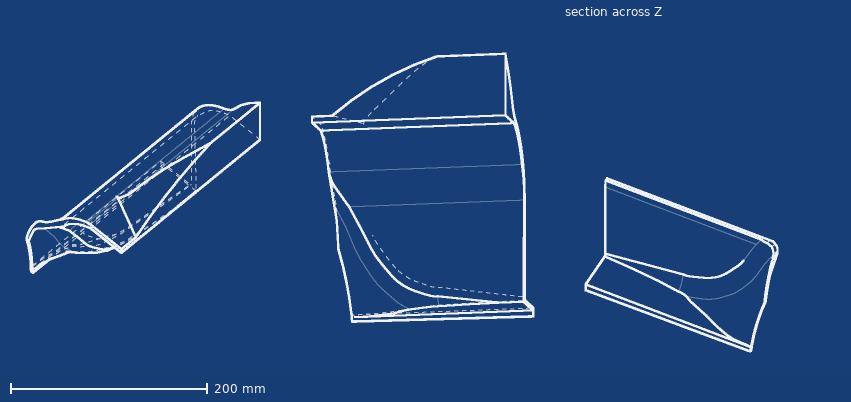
import cadquery as cq
import math

WIDTH = 142.5
LENGTH = 201.33
HEIGHT = 246.47

WALL_X = 44.0
WALL_THICKNESS = 7.0
ARCH_RADIUS = 80.0
ARCH_X = WALL_X + ARCH_RADIUS
ARCH_Z = 114.0
ARCH_END_X = 91.0
ARCH_END_ANGLE = math.acos((ARCH_X - ARCH_END_X) / ARCH_RADIUS)
INNER_RADIUS = ARCH_RADIUS - WALL_THICKNESS
RAMP_X = 94.0
RAMP_Z = 188.2
SHELF_START_X = 98.0
SHELF_Z = 189.0
SHELF_THICKNESS = 6.5
SHELF_UNDERSIDE_Z = SHELF_Z - SHELF_THICKNESS

INNER_FOOT_X = WALL_X + WALL_THICKNESS
INNER_BEND_START = (48.5, 112.0)
INNER_BEND_MIDDLE = (51.0, 134.0)
INNER_BEND_END_Z = 147.0

FIN_ROOT = (104.0, 198.0)
FIN_ROOT_MIDDLE = (98.4, 191.9)
FIN_MIDDLE = (121.0, 224.0)
FIN_TOP_Y = 130.0
FIN_FRONT_Y = 21.0
FIN_INNER_FRONT_Y = 42.0
FIN_EDGE_BULGE = (71.0, 222.5)
FIN_INNER_BULGE = (75.0, 218.0)
FIN_CUTTER_REACH = 60.0

FLANGE_TOP_Z = 9.0
FLANGE_THICKNESS = 3.0
FLANGE_BOTTOM_Z = FLANGE_TOP_Z - FLANGE_THICKNESS
LIP_THICKNESS = 3.0
LIP_FRONT_Y = 13.0
LIP_FRONT_RISE = 2.0

RIM_TOP_Z = 76.0
RIM_MIDDLE = (7.5, 43.0)

CREASE_X = 32.0
FLARE_FRONT_STATIONS = [
    (0.0, 158.5, 130.0, 1.0),
    (7.0, 149.5, 115.5, 1.02),
    (14.0, 141.0, 101.0, 1.04),
    (21.0, 128.5, 84.0, 1.09),
    (29.0, 113.5, 68.0, 1.16),
    (47.0, 75.0, 42.0, 1.26),
    (60.0, 56.5, 29.5, 1.29),
    (80.0, 37.5, 16.0, 1.29),
    (91.0, 32.2, 12.2, 1.29),
    (102.0, 28.0, 9.0, 1.29),
    (112.0, 26.5, 7.5, 1.29),
]
FLARE_BACK_STATION = (LENGTH, 13.0, -6.0, 1.29)

OUTER_CURVE = [(CREASE_X, 0), (24, 6.5), (17, 18.5), (10, 37), (6, 55), (3, 79), (0, 110), (-2, 150)]
INNER_CURVE = [(CREASE_X + 1, 10), (25, 18), (19, 25), (14, 38), (9, 57), (6, 76), (3, 106), (1, 150)]
INNER_START_DROP = 9.5
FLARE_OVERLAP = 0.2
FLARE_START_TILT = math.radians(14)
FLARE_CORE_X = 75.0


def arch_x(z, radius):
    """X of the wall or arch face with the given radius at height z."""
    rise = max(z - ARCH_Z, 0)
    return ARCH_X - math.sqrt(radius**2 - rise**2)


def arch_point(radius, angle):
    """Point on the arch, with the angle measured up from the wall tangent."""
    return (ARCH_X - radius * math.cos(angle), ARCH_Z + radius * math.sin(angle))


def flare_start_direction(z, radius):
    """Downward direction of the flare where it leaves the wall or arch face at height z."""
    angle = math.asin(max(z - ARCH_Z, 0) / radius) + FLARE_START_TILT
    return (-math.sin(angle), -math.cos(angle))


def extrude_along_y(profile):
    """Extrude an XZ profile from the front to the back of the part."""
    return profile.close().extrude(-LENGTH)


def arch_outer_body():
    """Everything underneath the outer face of the wall, arch and shelf."""
    arch_middle = arch_point(ARCH_RADIUS, ARCH_END_ANGLE / 2)
    profile = (
        cq.Workplane("XZ")
        .moveTo(WIDTH, FLANGE_BOTTOM_Z)
        .lineTo(WALL_X, FLANGE_BOTTOM_Z)
        .lineTo(WALL_X, ARCH_Z)
        .threePointArc(arch_middle, arch_point(ARCH_RADIUS, ARCH_END_ANGLE))
        .lineTo(RAMP_X, RAMP_Z)
        .lineTo(SHELF_START_X, SHELF_Z)
        .lineTo(WIDTH, SHELF_Z)
    )
    return extrude_along_y(profile)


def arch_inner_body():
    """Hollow underneath the inner face of the wall, arch and shelf."""
    radius = INNER_RADIUS
    end_angle = math.asin((SHELF_UNDERSIDE_Z - ARCH_Z) / radius)
    start_angle = math.asin((INNER_BEND_END_Z - ARCH_Z) / radius)
    middle_angle = (start_angle + end_angle) / 2
    profile = (
        cq.Workplane("XZ")
        .moveTo(WIDTH, 0)
        .lineTo(INNER_FOOT_X, 0)
        .lineTo(*INNER_BEND_START)
        .threePointArc(INNER_BEND_MIDDLE, arch_point(radius, start_angle))
        .threePointArc(arch_point(radius, middle_angle), arch_point(radius, end_angle))
        .lineTo(WIDTH, SHELF_UNDERSIDE_Z)
    )
    return extrude_along_y(profile)


def flare_section(station, curve, radius, start_drop):
    """Closed XZ wire from the wall along one flare curve and back through the core of the part."""
    y, wall_z, crease_z, spread = station
    start_z = wall_z - start_drop
    end_z = crease_z - curve[-1][1]

    def place(x, z):
        return cq.Vector(x, y, z)

    def direction(x, z):
        return cq.Vector(x, 0, z)

    start = place(arch_x(start_z, radius) + FLARE_OVERLAP, start_z)
    points = [place(CREASE_X - spread * (CREASE_X - x), crease_z - drop) for x, drop in curve]
    core_bottom = place(FLARE_CORE_X, end_z)
    core_top = place(FLARE_CORE_X, start_z)
    start_direction = direction(*flare_start_direction(start_z, radius))
    crease_direction = points[1] - points[0]
    return cq.Wire.assembleEdges([
        cq.Edge.makeSpline([start, points[0]], tangents=[start_direction, crease_direction]),
        cq.Edge.makeSpline(points),
        cq.Edge.makeLine(points[-1], core_bottom),
        cq.Edge.makeLine(core_bottom, core_top),
        cq.Edge.makeLine(core_top, start),
    ])


def flare_body(curve, radius, start_drop):
    """Space behind one flare face: a smooth loft at the front and a straight one at the back."""

    def loft(stations, ruled):
        sections = [flare_section(station, curve, radius, start_drop) for station in stations]
        return cq.Workplane(cq.Solid.makeLoft(sections, ruled))

    front = loft(FLARE_FRONT_STATIONS, False)
    back = loft([FLARE_FRONT_STATIONS[-1], FLARE_BACK_STATION], True)
    return front.union(back)


def fin():
    """Fin on the shelf, closed at the front by a slanted, slightly curved face."""
    profile = (
        cq.Workplane("XZ")
        .moveTo(WIDTH, SHELF_UNDERSIDE_Z)
        .lineTo(SHELF_START_X, SHELF_UNDERSIDE_Z)
        .lineTo(*arch_point(ARCH_RADIUS, ARCH_END_ANGLE))
        .threePointArc(FIN_ROOT_MIDDLE, FIN_ROOT)
        .threePointArc(FIN_MIDDLE, (WIDTH, HEIGHT))
    )
    return extrude_along_y(profile).cut(fin_front_cutter())


def fin_front_cutter():
    """Space in front of the fin, swept along the foot line of its closing face."""
    reach = FIN_CUTTER_REACH
    foot_slope = (FIN_INNER_FRONT_Y - FIN_FRONT_Y) / (WIDTH - SHELF_START_X)

    def section(x, bulge):
        shift = foot_slope * (WIDTH - x)

        def place(y, z):
            return cq.Vector(x, y + shift, z)

        top = place(FIN_TOP_Y, HEIGHT)
        foot = place(FIN_FRONT_Y, SHELF_Z)
        under = place(FIN_FRONT_Y, SHELF_Z - reach)
        under_front = place(-2 * reach, SHELF_Z - reach)
        top_front = place(-2 * reach, HEIGHT)
        return cq.Wire.assembleEdges([
            cq.Edge.makeThreePointArc(top, place(*bulge), foot),
            cq.Edge.makeLine(foot, under),
            cq.Edge.makeLine(under, under_front),
            cq.Edge.makeLine(under_front, top_front),
            cq.Edge.makeLine(top_front, top),
        ])

    outer = section(WIDTH, FIN_EDGE_BULGE)
    inner = section(WIDTH - reach, FIN_INNER_BULGE)
    return cq.Workplane(cq.Solid.makeLoft([outer, inner], True))


def flange():
    """Thin horizontal flange outside the wall."""
    return (
        cq.Workplane("XY", origin=(0, 0, FLANGE_BOTTOM_Z))
        .rect(WALL_X + WALL_THICKNESS, LENGTH, centered=False)
        .extrude(FLANGE_THICKNESS)
    )


def lip():
    """Edge strip along X = 0, with a slightly rising lower edge."""
    return (
        cq.Workplane("YZ")
        .moveTo(LENGTH, 0)
        .lineTo(LENGTH, FLANGE_TOP_Z)
        .lineTo(0, FLANGE_TOP_Z)
        .lineTo(0, LIP_FRONT_RISE)
        .close()
        .extrude(LIP_THICKNESS)
    )


def rim_cutter():
    """Space in front of the curved lower rim of the flare."""
    return (
        cq.Workplane("YZ")
        .moveTo(0, RIM_TOP_Z)
        .threePointArc(RIM_MIDDLE, (LIP_FRONT_Y, 0))
        .lineTo(0, 0)
        .close()
        .extrude(WIDTH)
    )


envelope = (
    cq.Workplane("XY", origin=(0, 0, FLANGE_BOTTOM_Z))
    .rect(WIDTH, LENGTH, centered=False)
    .extrude(HEIGHT)
)
outer_flare = flare_body(OUTER_CURVE, ARCH_RADIUS, 0).intersect(envelope)
inner_flare = flare_body(INNER_CURVE, INNER_RADIUS, INNER_START_DROP)

result = arch_outer_body().union(outer_flare).union(flange())
result = result.cut(arch_inner_body()).cut(inner_flare)
result = result.union(lip()).union(fin()).cut(rim_cutter())